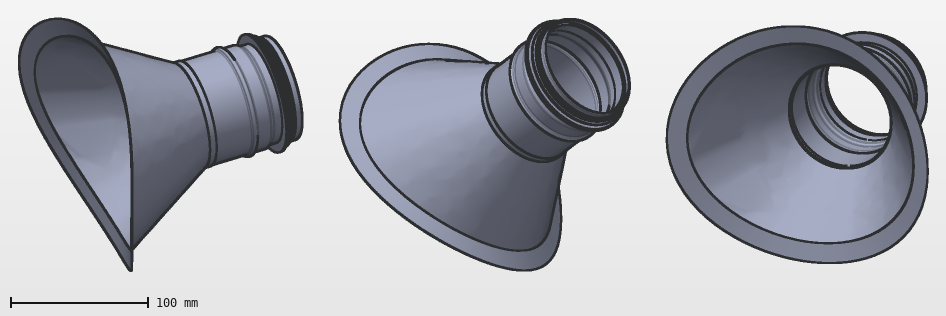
import cadquery as cq
import math


SHEET = 0.5

PIPE_R = 79.05 / 2
PIPE_LENGTH = 74.0
END_CURL_R = 1.5
GROOVE_START = 6.1
GROOVE_START_R = 74.25 / 2
GROOVE_END = 22.0
GROOVE_END_R = 75.45 / 2
SHOULDER_END = 25.2
SHOULDER_BEND_R = 1.2
BEAD_DEPTH = 38.1
BEAD_R = 2.0
BEAD_ROOT_R = 1.0

SEAL_R = 78.05 / 2
RING_R = 81.05 / 2
RING_START = 7.8
RING_END = 9.1
LIP_R = 84.45 / 2
LIP_TIP_START = 10.3
LIP_END = 11.3
FLANGE_R = 89.45 / 2
FLANGE_START = 13.6
FLANGE_END = 15.8
FLANGE_CHAMFER = 0.6

COLLAR_R = PIPE_R + SHEET
COLLAR_LENGTH = 5.2
CONE_ANGLE = math.radians(30)
SADDLE_R = 201.0
SADDLE_CROWN = 136.6
TOTAL_LENGTH = 163.66
BRIM_HALF_X = 202.16 / 2
BRIM_HALF_Z = 180.46 / 2
BRIM_EDGE_R = 226.0
CURVE_POINTS = 72


def revolve_about_y(profile):
    return profile.close().revolve(360, (0, 0, 0), (0, 1, 0))


def round_corner(blank, depth, radius):
    """Fillet the circular edge whose centre is on the axis at the given depth."""
    reach = 0.01
    near = cq.selectors.BoxSelector((-reach, -depth - reach, -reach), (reach, -depth + reach, reach))
    return blank.edges(near).fillet(radius)


def pipe_blank(inset):
    """Solid of revolution bounded by the pipe's outer skin moved inward by inset."""
    radius = PIPE_R - inset
    curl = END_CURL_R - inset
    bead = BEAD_R - inset
    root = BEAD_ROOT_R + inset
    curl_mid = curl * (1 - math.sqrt(0.5))

    root_centre_r = radius + root
    rise = BEAD_ROOT_R
    root_offset = math.sqrt((bead + root) ** 2 - rise ** 2)
    share = bead / (bead + root)
    touch_offset = root_offset * share
    touch_r = PIPE_R + rise * share
    root_turn = math.acos(rise / (bead + root)) / 2
    root_mid_offset = root_offset - root * math.sin(root_turn)
    root_mid_r = root_centre_r - root * math.cos(root_turn)

    groove_start = GROOVE_START - inset
    shoulder_slope = math.atan2(PIPE_R - GROOVE_END_R, SHOULDER_END - GROOVE_END)
    shoulder_shift = inset * math.tan(shoulder_slope / 2)

    profile = (
        cq.Workplane("XY")
        .moveTo(0, -inset)
        .lineTo(radius - curl, -inset)
        .threePointArc((radius - curl_mid, -inset - curl_mid), (radius, -inset - curl))
        .lineTo(radius, -groove_start)
        .lineTo(GROOVE_START_R - inset, -groove_start)
        .lineTo(GROOVE_END_R - inset, -GROOVE_END - shoulder_shift)
        .lineTo(radius, -SHOULDER_END - shoulder_shift)
        .lineTo(radius, -BEAD_DEPTH + root_offset)
        .threePointArc((root_mid_r, -BEAD_DEPTH + root_mid_offset), (touch_r, -BEAD_DEPTH + touch_offset))
        .threePointArc((PIPE_R + bead, -BEAD_DEPTH), (touch_r, -BEAD_DEPTH - touch_offset))
        .threePointArc((root_mid_r, -BEAD_DEPTH - root_mid_offset), (radius, -BEAD_DEPTH - root_offset))
        .lineTo(radius, -PIPE_LENGTH)
        .lineTo(0, -PIPE_LENGTH)
    )
    blank = revolve_about_y(profile)
    blank = round_corner(blank, GROOVE_END + shoulder_shift, SHOULDER_BEND_R + inset)
    return round_corner(blank, SHOULDER_END + shoulder_shift, SHOULDER_BEND_R + SHEET - inset)


def make_pipe():
    """Thin-walled pipe with a curled-in end, a tapered seal groove and a raised bead."""
    mouth = cq.Workplane("XZ").circle(PIPE_R - END_CURL_R).extrude(END_CURL_R)
    return pipe_blank(0).cut(pipe_blank(SHEET)).cut(mouth).solids()


def make_seal():
    """Rubber seal seated in the tapered groove, with a ring, a lip and a wide flange."""
    groove_slope = (GROOVE_END_R - GROOVE_START_R) / (GROOVE_END - GROOVE_START)
    seat_end_r = GROOVE_START_R + groove_slope * (FLANGE_END - GROOVE_START)
    profile = cq.Workplane("XY").polyline([
        (GROOVE_START_R, -GROOVE_START),
        (SEAL_R, -GROOVE_START),
        (SEAL_R, -RING_START),
        (RING_R, -RING_START),
        (RING_R, -RING_END),
        (SEAL_R, -RING_END),
        (LIP_R, -LIP_TIP_START),
        (LIP_R, -LIP_END),
        (SEAL_R, -LIP_END),
        (SEAL_R, -FLANGE_START),
        (FLANGE_R - FLANGE_CHAMFER, -FLANGE_START),
        (FLANGE_R, -FLANGE_START - FLANGE_CHAMFER),
        (FLANGE_R, -FLANGE_END),
        (seat_end_r, -FLANGE_END),
    ])
    return revolve_about_y(profile)


def circle_edge(radius, depth):
    return cq.Workplane("XZ", origin=(0, -depth, 0)).circle(radius).edges().val()


def curve_edge(radius_and_depth):
    """Closed smooth curve around the Y axis; radius_and_depth(angle) gives its shape."""
    angles = [2 * math.pi * i / CURVE_POINTS for i in range(CURVE_POINTS + 1)]
    points = []
    for angle in angles[:-1]:
        radius, depth = radius_and_depth(angle)
        points.append(cq.Vector(radius * math.cos(angle), -depth, radius * math.sin(angle)))
    return cq.Edge.makeSpline(points, periodic=True, parameters=angles)


def arc_drop(x, radius):
    return radius - math.sqrt(radius ** 2 - x ** 2)


def saddle_curve(bend_r, bend_depth, crown_depth):
    """Where a cone starting at the bend meets the saddle cylinder, whose axis runs along Z."""
    steepness = 1 / math.tan(CONE_ANGLE)
    apex_depth = bend_depth - steepness * bend_r
    reach = crown_depth + SADDLE_R - apex_depth

    def radius_and_depth(angle):
        a = steepness ** 2 + math.cos(angle) ** 2
        half_b = steepness * reach
        c = reach ** 2 - SADDLE_R ** 2
        radius = (half_b - math.sqrt(half_b ** 2 - a * c)) / a
        return radius, apex_depth + steepness * radius

    return curve_edge(radius_and_depth)


def brim_curve(tip_depth):
    """Outer edge of the brim: an ellipse along Y, an arc along Z."""
    crown_depth = tip_depth - arc_drop(BRIM_HALF_X, BRIM_EDGE_R)

    def radius_and_depth(angle):
        radius = 1 / math.hypot(math.cos(angle) / BRIM_HALF_X, math.sin(angle) / BRIM_HALF_Z)
        return radius, crown_depth + arc_drop(radius * math.cos(angle), BRIM_EDGE_R)

    return curve_edge(radius_and_depth)


def make_funnel():
    """Collar, cone and brim as one sheet: ruled faces joining a ring of closed curves."""
    collar_start = PIPE_LENGTH - COLLAR_LENGTH
    inner_bend = PIPE_LENGTH + SHEET * math.tan(CONE_ANGLE / 2)
    loops = [
        circle_edge(COLLAR_R, collar_start),
        circle_edge(COLLAR_R, PIPE_LENGTH),
        saddle_curve(COLLAR_R, PIPE_LENGTH, SADDLE_CROWN),
        brim_curve(TOTAL_LENGTH - SHEET),
        brim_curve(TOTAL_LENGTH),
        saddle_curve(PIPE_R, inner_bend, SADDLE_CROWN + SHEET),
        circle_edge(PIPE_R, inner_bend),
        circle_edge(PIPE_R, collar_start),
    ]
    faces = []
    for loop, next_loop in zip(loops, loops[1:] + loops[:1]):
        faces.append(cq.Face.makeRuledSurface(loop, next_loop))
    return cq.Workplane(cq.Solid.makeSolid(cq.Shell.makeShell(faces)))


pipe = make_pipe()
seal = make_seal()
funnel = make_funnel()

result = cq.Compound.makeCompound([pipe.val(), seal.val(), funnel.val()])